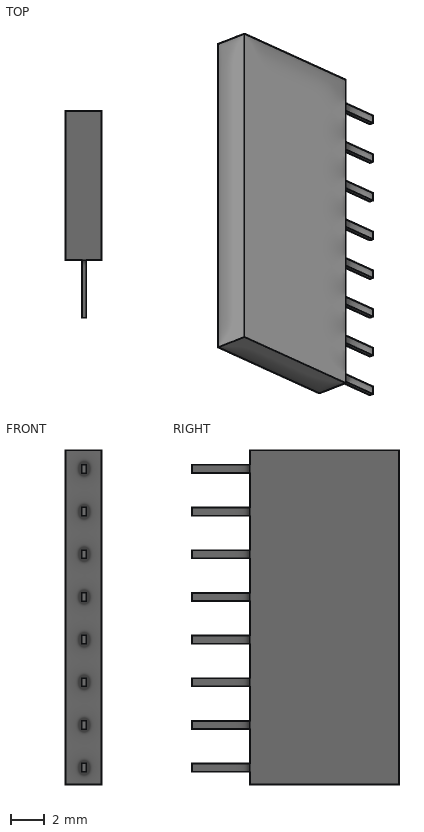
import cadquery as cq

body_thickness = 2.15
body_depth = 8.88
body_height = 19.91

overall_depth = 12.32
pin_length = overall_depth - body_depth
pin_width = 0.25
pin_height = 0.5
pin_count = 8
row_span = 17.78
pin_pitch = row_span / (pin_count - 1)
bottom_pin_z = 1.02
pin_offset_x = 0.04


def make_body():
    return cq.Workplane("XY").box(body_thickness, body_depth, body_height, centered=(True, False, False))


def make_pin(center_z):
    pin = cq.Workplane("XY").box(pin_width, pin_length, pin_height, centered=(True, False, True))
    return pin.translate((pin_offset_x, -pin_length, center_z))


result = make_body()
for index in range(pin_count):
    result = result.union(make_pin(bottom_pin_z + index * pin_pitch))